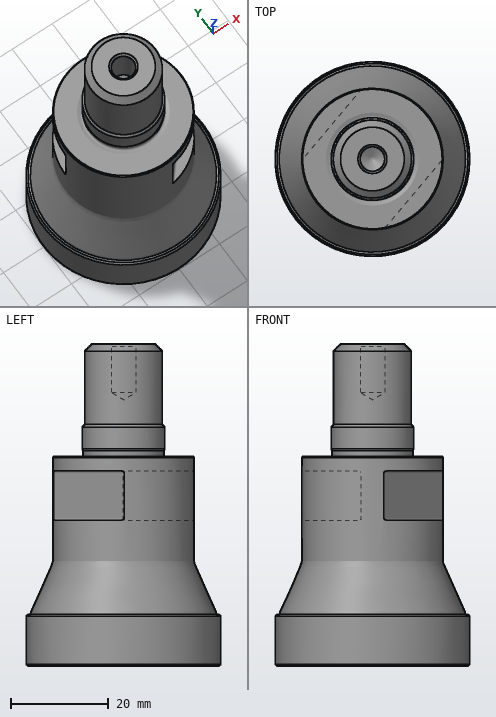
import cadquery as cq
import math

base_diameter = 39.9
base_height = 10.6
edge_chamfer = 0.4

cone_foot_diameter = 38.15
cone_bottom_diameter = 37.75
cone_bottom = 11.35
cone_top_diameter = 29.7
cone_top = 20.4
blend_top = 21.6
neck_diameter = 29.0
neck_top = 43.0
neck_chamfer_radial = 0.2
neck_chamfer_height = 0.4

undercut_mouth_diameter = 19.0
undercut_floor_diameter = 17.7
undercut_depth = 0.2
undercut_diameter = 16.6
undercut_chamfer_height = 0.4

collar_diameter = 16.95
collar_bottom = 44.5
collar_chamfer = 0.5
shank_diameter = 16.0
shank_bottom = 49.5
tip_chamfer = 1.45
total_height = 66.0

center_hole_diameter = 5.0
center_hole_mouth = 5.95
center_hole_depth = 9.9
drill_point_angle = 118.0

flat_width = 22.0
flat_bottom = 29.9
flat_top = 40.0
flat_fillet = 0.45
flat_angle = -40.0


def make_base():
    """Plain disc, chamfered at both rims."""
    return (
        cq.Workplane("XY")
        .circle(base_diameter / 2)
        .extrude(base_height)
        .faces("<Z or >Z")
        .edges()
        .chamfer(edge_chamfer)
    )


def make_turned_body():
    """Cone, neck, undercut, collar and shank as one revolved profile."""
    foot_radius = cone_foot_diameter / 2
    cone_bottom_radius = cone_bottom_diameter / 2
    cone_top_radius = cone_top_diameter / 2
    neck_radius = neck_diameter / 2
    collar_radius = collar_diameter / 2
    shank_radius = shank_diameter / 2
    undercut_radius = undercut_diameter / 2
    undercut_floor_radius = undercut_floor_diameter / 2
    undercut_floor = neck_top - undercut_depth
    undercut_fillet = undercut_floor_radius - undercut_radius
    cone_direction = (cone_top_radius - cone_bottom_radius, cone_top - cone_bottom)
    upward = (0, 1)
    return (
        cq.Workplane("XZ")
        .moveTo(0, base_height)
        .lineTo(foot_radius, base_height)
        .spline([(cone_bottom_radius, cone_bottom)], tangents=[upward, cone_direction], includeCurrent=True)
        .lineTo(cone_top_radius, cone_top)
        .spline([(neck_radius, blend_top)], tangents=[cone_direction, upward], includeCurrent=True)
        .lineTo(neck_radius, neck_top - neck_chamfer_height)
        .lineTo(neck_radius - neck_chamfer_radial, neck_top)
        .lineTo(undercut_mouth_diameter / 2, neck_top)
        .lineTo(undercut_floor_radius, undercut_floor)
        .tangentArcPoint((undercut_radius, undercut_floor + undercut_fillet), relative=False)
        .lineTo(undercut_radius, collar_bottom - undercut_chamfer_height)
        .lineTo(collar_radius, collar_bottom)
        .lineTo(collar_radius, shank_bottom - collar_chamfer)
        .lineTo(shank_radius, shank_bottom)
        .lineTo(shank_radius, total_height - tip_chamfer)
        .lineTo(shank_radius - tip_chamfer, total_height)
        .lineTo(0, total_height)
        .close()
        .revolve(360, (0, 0, 0), (0, 1, 0))
    )


def make_center_hole():
    """Blind hole with a chamfered mouth and a drill point."""
    hole_radius = center_hole_diameter / 2
    mouth_radius = center_hole_mouth / 2
    point_depth = hole_radius / math.tan(math.radians(drill_point_angle / 2))
    return (
        cq.Workplane("XZ", origin=(0, 0, total_height))
        .lineTo(mouth_radius, 0)
        .lineTo(hole_radius, hole_radius - mouth_radius)
        .lineTo(hole_radius, -center_hole_depth)
        .lineTo(0, -center_hole_depth - point_depth)
        .close()
        .revolve(360, (0, 0, 0), (0, 1, 0))
    )


def make_flat_cut():
    """Cutter for one wrench flat, on the +X side, with rounded inner edges."""
    radial_depth = neck_diameter / 2
    return (
        cq.Workplane("XY", origin=(flat_width / 2, 0, flat_bottom))
        .box(radial_depth, neck_diameter, flat_top - flat_bottom, centered=(False, True, False))
        .edges("<X and |Y")
        .fillet(flat_fillet)
    )


def make_shank_body():
    body = make_turned_body().cut(make_center_hole())
    for half_turn in (0, 180):
        flat_cut = make_flat_cut().rotate((0, 0, 0), (0, 0, 1), flat_angle + half_turn)
        body = body.cut(flat_cut)
    return body


base = make_base()
shank_body = make_shank_body()
result = cq.Compound.makeCompound([base.val(), shank_body.val()])